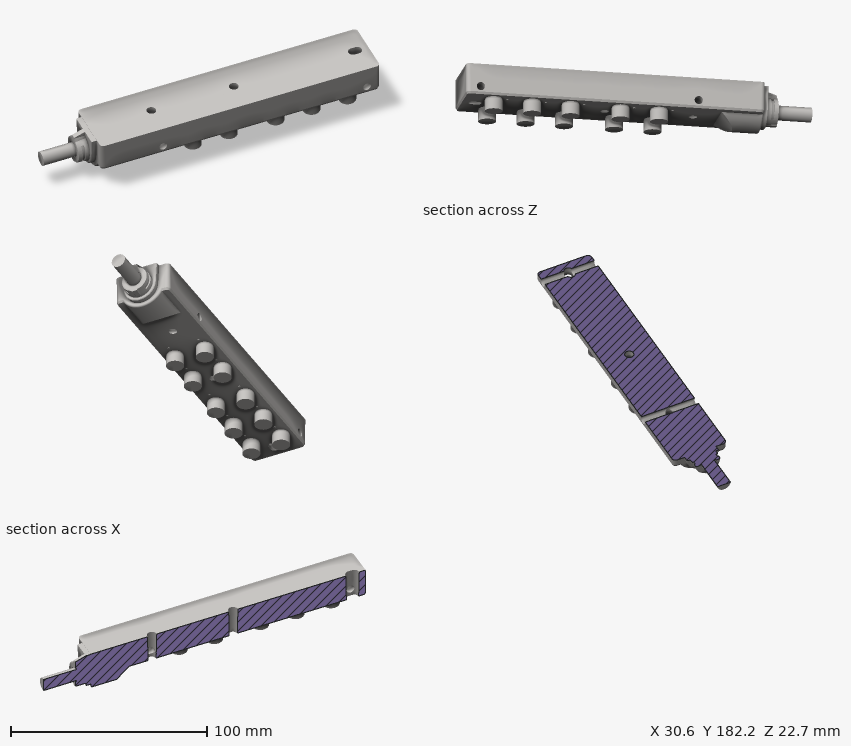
import cadquery as cq
import math


TOTAL_LENGTH = 182.15
TOTAL_HEIGHT = 22.7

BODY_WIDTH = 30.56
BODY_LENGTH = 155.3
BODY_HEIGHT = 16.1
CORNER_RADIUS_TOP = 1.9
CORNER_RADIUS_BOTTOM = 2.3
BOTTOM_CHAMFER_HEIGHT = 1.2
BOTTOM_CHAMFER_INSET = 0.6

MOUNT_DIAMETER = 4.3
MOUNT_MOUTH_DIAMETER = 5.0
END_HOLE_OFFSET = 7.4
MIDDLE_HOLE_OFFSET = 74.8
FRONT_HOLE_OFFSET = 120.7
SLOT_TRAVEL = 2.4
SIDE_HOLE_DEPTH = 12.0

POST_DIAMETER = 9.2
POST_NECK_DIAMETER = 8.8
POST_NECK_LENGTH = 0.8
POST_OFFSET_X = 8.5
POST_PITCH = 20.0
FIRST_GROUP_OFFSET = 15.4
FIRST_GROUP_COUNT = 3
SECOND_GROUP_OFFSET = 81.4
SECOND_GROUP_COUNT = 2
LAMP_DIAMETER = 1.1
LAMP_HEIGHT = 0.3
LAMP_OFFSET = 7.1

AXIS_DEPTH = 11.0

DOME_RADIUS = 12.8
DOME_DEPTH = 22.2
DOME_LENGTH = 21.8
DOME_FLAT_LENGTH = 14.4
DOME_EDGE_RADIUS = 0.9

PLATE_THICKNESS = 2.9
PLATE_DROP = 0.15
PLATE_TOP_WIDTH = 19.6
PLATE_RADIUS = 9.1
PLATE_CHAMFER = 0.35

GLAND_END = 8.9
GLAND_REAR_RADIUS = 7.5
GLAND_FRONT_RADIUS = 7.05
GLAND_EDGE_LENGTH = 0.15
GLAND_FACE_RADIUS = 6.5
CABLE_DIAMETER = 7.6
RECESS_DIAMETER = 8.5
RECESS_DEPTH = 0.5

TOP_RIB_WIDTH = 2.7
TOP_RIB_FLARE_DEPTH = 2.6
TOP_RIB_BASE_WIDTH = 5.2
TOP_RIB_BASE_DEPTH = 4.8
TOP_RIB_FRONT_DROP = 2.1
BOTTOM_RIB_DEPTH = 18.5
BOTTOM_RIB_WIDTH = 2.5
BOTTOM_RIB_BASE_DEPTH = 17.0
BOTTOM_RIB_BASE_WIDTH = 5.2

GROOVE_START = 5.1
GROOVE_WIDTH = 1.5
GROOVE_FLOOR_RADIUS = 6.5
GROOVE_HALF_HEIGHT = 5.4

CABLE_END = TOTAL_LENGTH - BODY_LENGTH


def from_back(offset):
    """Y coordinate at a distance from the back face."""
    return BODY_LENGTH - offset


def round_bar(diameter, start, end):
    """Cylinder on the cable axis between two distances in front of the housing."""
    plane = cq.Workplane("XZ", origin=(0, -start, -AXIS_DEPTH))
    return plane.circle(diameter / 2).extrude(end - start)


def rounded_face(depth, radius, inset=0):
    """Rounded rectangular outline of the housing at one depth."""
    width = BODY_WIDTH - 2 * inset
    length = BODY_LENGTH - 2 * inset
    sketch = cq.Sketch().rect(width, length).vertices().fillet(radius)
    return sketch.moved(cq.Location(cq.Vector(0, 0, -depth)))


def make_body():
    """Housing with slightly conical corners and a chamfered bottom rim."""
    rim_depth = BODY_HEIGHT - BOTTOM_CHAMFER_HEIGHT
    floor_radius = CORNER_RADIUS_BOTTOM - BOTTOM_CHAMFER_INSET
    top = rounded_face(0, CORNER_RADIUS_TOP)
    rim = rounded_face(rim_depth, CORNER_RADIUS_BOTTOM)
    floor = rounded_face(BODY_HEIGHT, floor_radius, BOTTOM_CHAMFER_INSET)
    centre = cq.Workplane("XY", origin=(0, BODY_LENGTH / 2, 0))
    walls = centre.placeSketch(top, rim).loft()
    chamfered_rim = centre.placeSketch(rim, floor).loft()
    return walls.union(chamfered_rim)


def make_dome():
    """Round belly under the front of the housing, with a sloped back."""
    centre_depth = DOME_DEPTH - DOME_RADIUS
    profile = (
        cq.Workplane("YZ")
        .polyline([
            (0, -centre_depth),
            (DOME_LENGTH, -centre_depth),
            (DOME_LENGTH, -BODY_HEIGHT),
            (DOME_FLAT_LENGTH, -DOME_DEPTH),
            (0, -DOME_DEPTH),
        ])
        .close()
        .extrude(DOME_RADIUS, both=True)
    )
    cylinder = (
        cq.Workplane("XZ", origin=(0, DOME_LENGTH, -centre_depth))
        .circle(DOME_RADIUS)
        .extrude(DOME_LENGTH)
        .faces("<Y")
        .edges()
        .fillet(DOME_EDGE_RADIUS)
    )
    return cylinder.intersect(profile)


def make_plate():
    """Plate with slightly converging sides and a round lower end."""
    half_top = PLATE_TOP_WIDTH / 2
    plate = (
        cq.Workplane("XZ")
        .moveTo(-half_top, -PLATE_DROP)
        .lineTo(half_top, -PLATE_DROP)
        .lineTo(PLATE_RADIUS, -AXIS_DEPTH)
        .threePointArc((0, -AXIS_DEPTH - PLATE_RADIUS), (-PLATE_RADIUS, -AXIS_DEPTH))
        .close()
        .extrude(PLATE_THICKNESS)
    )
    return plate.faces("<Y").edges("not >Z").chamfer(PLATE_CHAMFER)


def make_bottom_rib():
    """Low rib along the underside of the gland."""
    return (
        cq.Workplane("XZ", origin=(0, -PLATE_THICKNESS, 0))
        .polyline([
            (-BOTTOM_RIB_BASE_WIDTH / 2, -BOTTOM_RIB_BASE_DEPTH),
            (BOTTOM_RIB_BASE_WIDTH / 2, -BOTTOM_RIB_BASE_DEPTH),
            (BOTTOM_RIB_WIDTH / 2, -BOTTOM_RIB_DEPTH),
            (-BOTTOM_RIB_WIDTH / 2, -BOTTOM_RIB_DEPTH),
        ])
        .close()
        .extrude(GLAND_END - PLATE_THICKNESS)
    )


def make_top_rib():
    """Upper rib that rises from the gland face to the top of the plate."""
    section = (
        cq.Workplane("XZ", origin=(0, -PLATE_THICKNESS, 0))
        .polyline([
            (-TOP_RIB_WIDTH / 2, -TOP_RIB_FLARE_DEPTH),
            (-TOP_RIB_WIDTH / 2, -PLATE_DROP),
            (TOP_RIB_WIDTH / 2, -PLATE_DROP),
            (TOP_RIB_WIDTH / 2, -TOP_RIB_FLARE_DEPTH),
            (TOP_RIB_BASE_WIDTH / 2, -TOP_RIB_BASE_DEPTH),
            (-TOP_RIB_BASE_WIDTH / 2, -TOP_RIB_BASE_DEPTH),
        ])
        .close()
        .extrude(GLAND_END - PLATE_THICKNESS)
    )
    slope = (
        cq.Workplane("YZ")
        .polyline([
            (-PLATE_THICKNESS, -PLATE_DROP),
            (-GLAND_END, -TOP_RIB_FRONT_DROP),
            (-GLAND_END, -TOP_RIB_BASE_DEPTH),
            (-PLATE_THICKNESS, -TOP_RIB_BASE_DEPTH),
        ])
        .close()
        .extrude(TOP_RIB_BASE_WIDTH, both=True)
    )
    return section.intersect(slope)


def make_grooves():
    """Ring cutter limited to the two sides of the gland."""
    groove_end = GROOVE_START + GROOVE_WIDTH
    cutter_diameter = 2 * GLAND_REAR_RADIUS + GROOVE_WIDTH
    ring = round_bar(cutter_diameter, GROOVE_START, groove_end)
    ring = ring.cut(round_bar(2 * GROOVE_FLOOR_RADIUS, GROOVE_START, groove_end))
    band = (
        cq.Workplane("XZ", origin=(0, -GROOVE_START, -AXIS_DEPTH))
        .rect(cutter_diameter, 2 * GROOVE_HALF_HEIGHT)
        .extrude(GROOVE_WIDTH)
    )
    return ring.intersect(band)


def make_gland():
    """Tapered gland with its ribs, grooves and the recess around the cable."""
    edge_start = GLAND_END - GLAND_EDGE_LENGTH
    gland = (
        cq.Workplane("XY", origin=(0, 0, -AXIS_DEPTH))
        .polyline([
            (0, -PLATE_THICKNESS),
            (GLAND_REAR_RADIUS, -PLATE_THICKNESS),
            (GLAND_FRONT_RADIUS, -edge_start),
            (GLAND_FACE_RADIUS, -GLAND_END),
            (0, -GLAND_END),
        ])
        .close()
        .revolve(360, (0, 0, 0), (0, 1, 0))
    )
    gland = gland.union(make_top_rib()).union(make_bottom_rib())
    recess = round_bar(RECESS_DIAMETER, GLAND_END - RECESS_DEPTH, GLAND_END)
    return gland.cut(make_grooves()).cut(recess)


def post_positions():
    """Distances of the post rows from the back face."""
    first = [FIRST_GROUP_OFFSET + i * POST_PITCH for i in range(FIRST_GROUP_COUNT)]
    second = [SECOND_GROUP_OFFSET + i * POST_PITCH for i in range(SECOND_GROUP_COUNT)]
    return first + second


def both_columns(offset):
    """Points of the left and right post at one row."""
    y = from_back(offset)
    return [(-POST_OFFSET_X, y), (POST_OFFSET_X, y)]


def make_posts_and_lamps():
    """Necked round posts in two columns, each with a small lamp beside it."""
    neck_end = BODY_HEIGHT + POST_NECK_LENGTH
    posts = []
    lamps = []
    for offset in post_positions():
        posts += both_columns(offset)
        lamps += both_columns(offset + LAMP_OFFSET)
    under = cq.Workplane("XY", origin=(0, 0, -BODY_HEIGHT))
    neck_plane = cq.Workplane("XY", origin=(0, 0, -neck_end))
    necks = under.pushPoints(posts).circle(POST_NECK_DIAMETER / 2).extrude(-POST_NECK_LENGTH)
    heads = neck_plane.pushPoints(posts).circle(POST_DIAMETER / 2).extrude(neck_end - TOTAL_HEIGHT)
    bumps = under.pushPoints(lamps).circle(LAMP_DIAMETER / 2).extrude(-LAMP_HEIGHT)
    return necks.union(heads).union(bumps)


def make_top_holes():
    """Vertical mounting holes that narrow towards the bottom; the rear one is a slot."""
    taper = math.degrees(math.atan((MOUNT_MOUTH_DIAMETER - MOUNT_DIAMETER) / 2 / BODY_HEIGHT))
    top = cq.Workplane("XY")
    round_points = [(0, from_back(MIDDLE_HOLE_OFFSET)), (0, from_back(FRONT_HOLE_OFFSET))]
    slot_length = MOUNT_MOUTH_DIAMETER + SLOT_TRAVEL
    slot = (
        top.center(0, from_back(END_HOLE_OFFSET))
        .slot2D(slot_length, MOUNT_MOUTH_DIAMETER, 90)
        .extrude(-BODY_HEIGHT, taper=taper)
    )
    holes = top.pushPoints(round_points).circle(MOUNT_MOUTH_DIAMETER / 2).extrude(-BODY_HEIGHT, taper=taper)
    return holes.union(slot)


def make_side_holes():
    """Cross holes through the full width."""
    points = [(from_back(offset), -SIDE_HOLE_DEPTH) for offset in (END_HOLE_OFFSET, FRONT_HOLE_OFFSET)]
    return cq.Workplane("YZ").pushPoints(points).circle(MOUNT_DIAMETER / 2).extrude(BODY_WIDTH, both=True)


housing = make_body().union(make_dome()).union(make_posts_and_lamps())
housing = housing.cut(make_top_holes()).cut(make_side_holes())
cable = round_bar(CABLE_DIAMETER, 0, CABLE_END)
result = housing.union(make_plate()).union(make_gland()).union(cable)